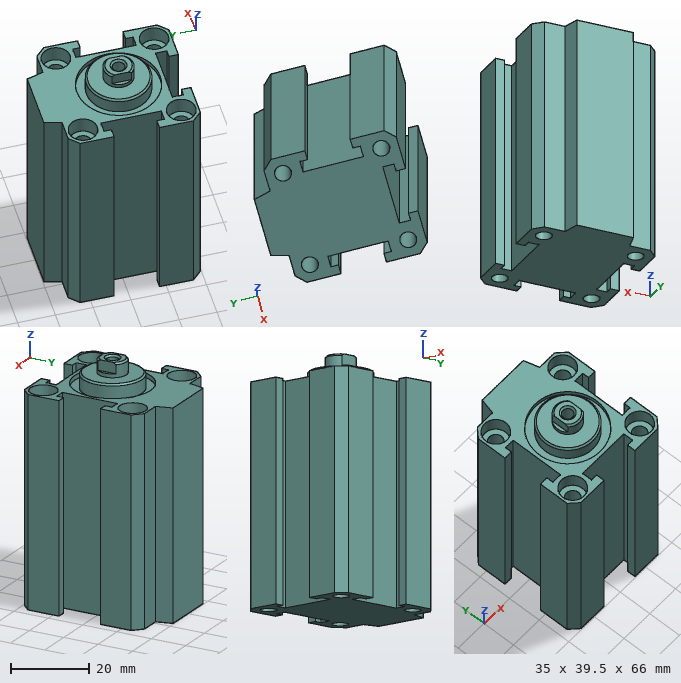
import cadquery as cq

BODY_WIDTH = 35.0
BODY_HEIGHT = 59.0
CORNER_CHAMFER = 2.5
RAIL_TOP_WIDTH = 16.0
RAIL_BASE_WIDTH = 18.35
RAIL_HEIGHT = 4.5
HALF_WIDTH = BODY_WIDTH / 2

SLOT_OPENING = 12.0
SLOT_INNER_WIDTH = 16.0
SLOT_LIP = 2.5
SLOT_DEPTH = 5.5
SLOT_ANGLES = (0, 90, -90)

HOLE_SPACING = 26.0
HOLE_DIAMETER = 4.3
COUNTERBORE_DIAMETER = 7.5
COUNTERBORE_DEPTH = 4.5

RECESS_DIAMETER = 22.0
RECESS_DEPTH = 1.25
COLLAR_DIAMETER = 17.0
COLLAR_PROJECTION = 3.0
COLLAR_CHAMFER = 0.5
RECESS_FLOOR = BODY_HEIGHT - RECESS_DEPTH
COLLAR_TOP = BODY_HEIGHT + COLLAR_PROJECTION

ROD_DIAMETER = 8.0
ROD_TOP = 66.0
ROD_CHAMFER = 0.5
FLATS_WIDTH = 6.0
FLATS_HEIGHT = 3.0
BORE_DIAMETER = 3.25
BORE_MOUTH_DIAMETER = 4.3
BORE_DEPTH = 6.0
ROD_LENGTH = ROD_TOP - RECESS_FLOOR


def cylinder(diameter, bottom, height):
    return cq.Workplane("XY").workplane(offset=bottom).circle(diameter / 2).extrude(height)


def make_slot():
    """T-slot cutter for the -Y side."""
    outline = [
        (-SLOT_OPENING / 2, -HALF_WIDTH),
        (-SLOT_OPENING / 2, -HALF_WIDTH + SLOT_LIP),
        (-SLOT_INNER_WIDTH / 2, -HALF_WIDTH + SLOT_LIP),
        (-SLOT_INNER_WIDTH / 2, -HALF_WIDTH + SLOT_DEPTH),
        (SLOT_INNER_WIDTH / 2, -HALF_WIDTH + SLOT_DEPTH),
        (SLOT_INNER_WIDTH / 2, -HALF_WIDTH + SLOT_LIP),
        (SLOT_OPENING / 2, -HALF_WIDTH + SLOT_LIP),
        (SLOT_OPENING / 2, -HALF_WIDTH),
    ]
    return cq.Workplane("XY").polyline(outline).close().extrude(BODY_HEIGHT)


def make_rail():
    """Tapered rail on the +Y side."""
    outline = [
        (-RAIL_BASE_WIDTH / 2, HALF_WIDTH),
        (-RAIL_TOP_WIDTH / 2, HALF_WIDTH + RAIL_HEIGHT),
        (RAIL_TOP_WIDTH / 2, HALF_WIDTH + RAIL_HEIGHT),
        (RAIL_BASE_WIDTH / 2, HALF_WIDTH),
    ]
    return cq.Workplane("XY").polyline(outline).close().extrude(BODY_HEIGHT)


def make_housing():
    housing = cq.Workplane("XY").rect(BODY_WIDTH, BODY_WIDTH).extrude(BODY_HEIGHT)
    housing = housing.edges("|Z").chamfer(CORNER_CHAMFER)
    housing = housing.union(make_rail())

    for angle in SLOT_ANGLES:
        housing = housing.cut(make_slot().rotate((0, 0, 0), (0, 0, 1), angle))

    housing = (
        housing.faces(">Z").workplane(origin=(0, 0, BODY_HEIGHT))
        .rect(HOLE_SPACING, HOLE_SPACING, forConstruction=True).vertices()
        .cboreHole(HOLE_DIAMETER, COUNTERBORE_DIAMETER, COUNTERBORE_DEPTH)
    )

    housing = housing.cut(cylinder(RECESS_DIAMETER, RECESS_FLOOR, RECESS_DEPTH))
    collar = cylinder(COLLAR_DIAMETER, RECESS_FLOOR, COLLAR_TOP - RECESS_FLOOR)
    collar = collar.faces(">Z").edges().chamfer(COLLAR_CHAMFER)
    rod_seat = cylinder(ROD_DIAMETER, RECESS_FLOOR, ROD_LENGTH)
    return housing.union(collar).cut(rod_seat)


def make_rod():
    rod = cylinder(ROD_DIAMETER, RECESS_FLOOR, ROD_LENGTH)
    rod = rod.faces(">Z").edges().chamfer(ROD_CHAMFER)

    flats_bottom = cq.Workplane("XY").workplane(offset=ROD_TOP - FLATS_HEIGHT)
    across_flats = flats_bottom.rect(FLATS_WIDTH, ROD_DIAMETER).extrude(FLATS_HEIGHT)
    flats_cutter = cylinder(ROD_DIAMETER, ROD_TOP - FLATS_HEIGHT, FLATS_HEIGHT).cut(across_flats)
    rod = rod.cut(flats_cutter)

    bore = cylinder(BORE_DIAMETER, ROD_TOP - BORE_DEPTH, BORE_DEPTH)
    mouth_depth = (BORE_MOUTH_DIAMETER - BORE_DIAMETER) / 2
    mouth = cq.Workplane("XY").add(
        cq.Solid.makeCone(
            BORE_DIAMETER / 2,
            BORE_MOUTH_DIAMETER / 2,
            mouth_depth,
            pnt=cq.Vector(0, 0, ROD_TOP - mouth_depth),
        )
    )
    return rod.cut(bore).cut(mouth)


housing = make_housing()
rod = make_rod()
result = cq.Compound.makeCompound([housing.val(), rod.val()])